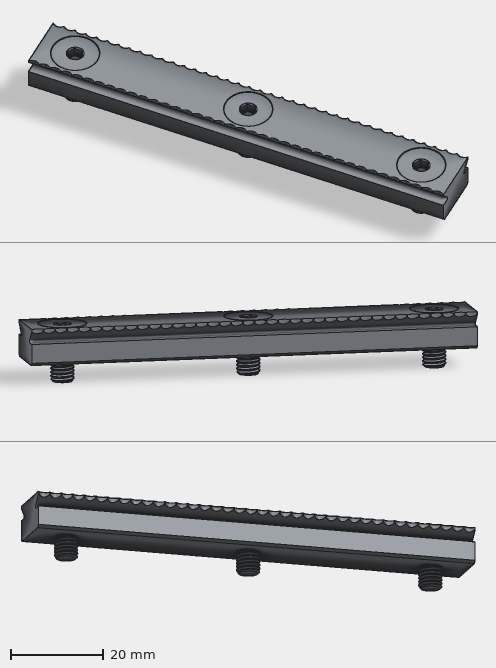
import cadquery as cq
import math

LENGTH = 98.8
WIDTH = 12.7
BAR_HEIGHT = 8.0
LIP_HEIGHT = 0.5
SHELF_DEPTH = 3.3
GROOVE_RADIUS = 0.4
BOTTOM_CHAMFER = 0.6

SCALLOP_COUNT = 38
SCALLOP_PITCH = LENGTH / SCALLOP_COUNT
SCALLOP_LAND = 0.2
SCALLOP_DEPTH = 0.54
SCALLOP_CUT_HEIGHT = SHELF_DEPTH / 2

SCREW_SPACING = 41.2
TIP_DEPTH = 12.7
COUNTERSINK_DIAMETER = 10.7
HEAD_RECESS = 0.1
THREAD_DIAMETER = 5.0
THREAD_PITCH = 0.8
THREAD_DEPTH = 0.44
THREAD_LENGTH = 5.9
THREAD_CREST = 0.1
TIP_CHAMFER = 0.5
SOCKET_FLATS = 3.2
SOCKET_RIM_DIAMETER = 3.9
SOCKET_DEPTH = 2.5

EDGE_REACH = 0.1
CUT_OVERSHOOT = 0.1

HALF_WIDTH = WIDTH / 2
THREAD_RADIUS = THREAD_DIAMETER / 2
COUNTERSINK_RADIUS = COUNTERSINK_DIAMETER / 2
COUNTERSINK_DEPTH = COUNTERSINK_RADIUS - THREAD_RADIUS


def screw_positions():
    return [(step * SCREW_SPACING, 0) for step in (-1, 0, 1)]


def revolve_about_z(outline):
    """Solid of revolution from (radius, z) points; both ends of the outline lie on the axis."""
    return cq.Workplane("XZ").polyline(outline).close().revolve(360, (0, 0, 0), (0, 1, 0))


def make_screw_hole():
    """Countersunk through hole, as a solid to be cut away."""
    return revolve_about_z(
        [
            (0, 0),
            (COUNTERSINK_RADIUS, 0),
            (THREAD_RADIUS, -COUNTERSINK_DEPTH),
            (THREAD_RADIUS, -BAR_HEIGHT),
            (0, -BAR_HEIGHT),
        ]
    )


def make_bar_blank():
    """Dovetail profile with rounded groove roots, extruded along the whole length."""
    root_y = HALF_WIDTH - (SHELF_DEPTH - LIP_HEIGHT)
    base_y = HALF_WIDTH - BOTTOM_CHAMFER
    right_side = [
        (HALF_WIDTH, 0),
        (HALF_WIDTH, -LIP_HEIGHT),
        (root_y, -SHELF_DEPTH),
        (HALF_WIDTH, -SHELF_DEPTH),
        (HALF_WIDTH, BOTTOM_CHAMFER - BAR_HEIGHT),
        (base_y, -BAR_HEIGHT),
    ]
    left_side = [(-y, z) for y, z in reversed(right_side)]
    blank = (
        cq.Workplane("YZ")
        .polyline(right_side + left_side)
        .close()
        .extrude(LENGTH / 2, both=True)
    )
    for side in (-1, 1):
        root_box = cq.selectors.BoxSelector(
            (-LENGTH, side * root_y - EDGE_REACH, -SHELF_DEPTH - EDGE_REACH),
            (LENGTH, side * root_y + EDGE_REACH, -SHELF_DEPTH + EDGE_REACH),
        )
        blank = blank.edges(root_box).fillet(GROOVE_RADIUS)
    return blank


def make_scallop_cutters(side):
    """Upright prisms, each a chord closed by an arc, for the scallops of one side (-1 or 1)."""
    half_chord = (SCALLOP_PITCH - SCALLOP_LAND) / 2
    mouth_y = side * HALF_WIDTH
    crown_y = side * (HALF_WIDTH - SCALLOP_DEPTH)
    outlines = cq.Workplane("XY")
    for index in range(SCALLOP_COUNT):
        x = (index + 0.5) * SCALLOP_PITCH - LENGTH / 2
        outlines = (
            outlines.moveTo(x - half_chord, mouth_y)
            .threePointArc((x, crown_y), (x + half_chord, mouth_y))
            .close()
        )
    return outlines.extrude(-SCALLOP_CUT_HEIGHT)


def make_bar():
    bar = make_bar_blank()
    for side in (-1, 1):
        bar = bar.cut(make_scallop_cutters(side))
    for x, y in screw_positions():
        bar = bar.cut(make_screw_hole().translate((x, y, 0)))
    return bar


def make_thread_groove():
    """Right-hand V groove wound along the lower end of the shank."""
    start_z = -TIP_DEPTH - THREAD_PITCH
    half_width_at_crest = (THREAD_PITCH - THREAD_CREST) / 2
    half_mouth = half_width_at_crest * (THREAD_DEPTH + CUT_OVERSHOOT) / THREAD_DEPTH
    helix = cq.Wire.makeHelix(THREAD_PITCH, THREAD_LENGTH + THREAD_PITCH, THREAD_RADIUS)
    groove = (
        cq.Workplane("XZ")
        .moveTo(THREAD_RADIUS - THREAD_DEPTH, 0)
        .lineTo(THREAD_RADIUS + CUT_OVERSHOOT, half_mouth)
        .lineTo(THREAD_RADIUS + CUT_OVERSHOOT, -half_mouth)
        .close()
        .sweep(cq.Workplane(obj=helix), isFrenet=True)
    )
    return groove.translate((0, 0, start_z))


def make_screw_blank():
    """Conical head on a chamfered shank, without thread or socket."""
    return revolve_about_z(
        [
            (0, -HEAD_RECESS),
            (COUNTERSINK_RADIUS - HEAD_RECESS, -HEAD_RECESS),
            (THREAD_RADIUS, -COUNTERSINK_DEPTH),
            (THREAD_RADIUS, TIP_CHAMFER - TIP_DEPTH),
            (THREAD_RADIUS - TIP_CHAMFER, -TIP_DEPTH),
            (0, -TIP_DEPTH),
        ]
    )


def make_socket():
    """Hexagonal recess with two corners along X and a 45 degree conical lead-in."""
    rim_radius = SOCKET_RIM_DIAMETER / 2
    corner_diameter = SOCKET_FLATS / math.cos(math.pi / 6)
    hexagon = cq.Workplane("XY").polygon(6, corner_diameter).extrude(-SOCKET_DEPTH)
    lead_in = revolve_about_z([(0, 0), (rim_radius, 0), (0, -rim_radius)])
    return hexagon.union(lead_in).translate((0, 0, -HEAD_RECESS))


def make_screw():
    return make_screw_blank().cut(make_socket()).cut(make_thread_groove())


bar = make_bar()
screw = make_screw()
screws = [screw.translate((x, y, 0)) for x, y in screw_positions()]

result = cq.Compound.makeCompound([bar.val(), *[copy.val() for copy in screws]])